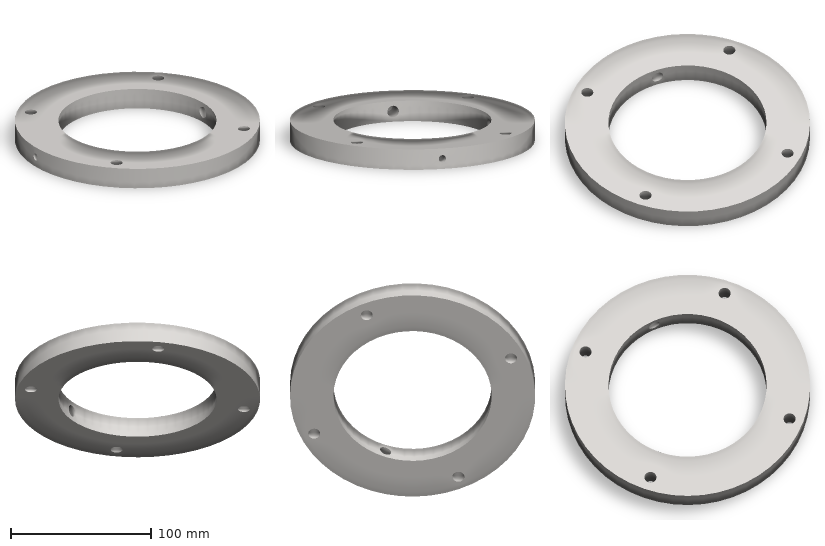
import cadquery as cq
import math

outer_diameter = 175.0
inner_diameter = 112.9
thickness = 15.0

mount_hole_diameter = 8.5
mount_hole_spacing = 109.5

drill_tip_angle = 118.0
rim_hole_diameter = 5.2
rim_hole_depth = 17.5
rim_hole_angle = 270
bore_hole_diameter = 8.4
bore_hole_depth = 17.5
bore_hole_angles = (0, 90)


def make_ring():
    return (
        cq.Workplane("XY")
        .circle(outer_diameter / 2)
        .circle(inner_diameter / 2)
        .extrude(thickness)
    )


def mount_holes():
    return (
        cq.Workplane("XY")
        .rect(mount_hole_spacing, mount_hole_spacing, forConstruction=True)
        .vertices()
        .circle(mount_hole_diameter / 2)
        .extrude(thickness)
    )


def radial_drill(diameter, start_radius, end_radius, angle):
    """Radial drill between two distances from the ring axis; its cone continues past the end."""
    radius = diameter / 2
    tip_length = radius / math.tan(math.radians(drill_tip_angle / 2))
    tip_radius = end_radius + math.copysign(tip_length, end_radius - start_radius)
    return (
        cq.Workplane("XY")
        .moveTo(start_radius, 0)
        .lineTo(start_radius, radius)
        .lineTo(end_radius, radius)
        .lineTo(tip_radius, 0)
        .close()
        .revolve(360, (0, 0, 0), (1, 0, 0))
        .rotate((0, 0, 0), (0, 0, 1), angle)
        .translate((0, 0, thickness / 2))
    )


def rim_hole():
    """Small hole drilled inward from the rim."""
    outer_radius = outer_diameter / 2
    return radial_drill(rim_hole_diameter, outer_radius, outer_radius - rim_hole_depth, rim_hole_angle)


def bore_hole(angle):
    """Hole drilled outward from the bore, started at the ring axis to clear the curved wall."""
    return radial_drill(bore_hole_diameter, 0, inner_diameter / 2 + bore_hole_depth, angle)


result = make_ring().cut(mount_holes()).cut(rim_hole())
for hole_angle in bore_hole_angles:
    result = result.cut(bore_hole(hole_angle))